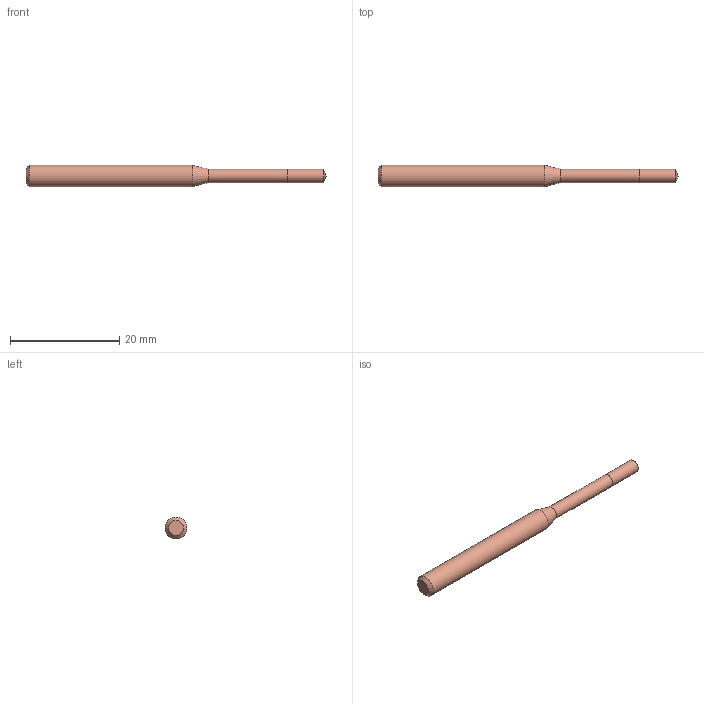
import cadquery as cq
import math

TOTAL_LENGTH = 55.0
SHANK_DIAMETER = 4.0
NECK_DIAMETER = 2.45
SHANK_CHAMFER = 0.63
TAPER_START = 30.5
TAPER_HALF_ANGLE = 15.0
HEAD_LENGTH = 7.0
POINT_ANGLE = 140.0

shank_radius = SHANK_DIAMETER / 2
neck_radius = NECK_DIAMETER / 2
taper_length = (shank_radius - neck_radius) / math.tan(math.radians(TAPER_HALF_ANGLE))
taper_end = TAPER_START + taper_length
head_start = TOTAL_LENGTH - HEAD_LENGTH
point_length = neck_radius / math.tan(math.radians(POINT_ANGLE / 2))
point_start = TOTAL_LENGTH - point_length


def revolve_about_x(profile_points):
    """Turn a closed half profile of (x, radius) points about the X axis."""
    profile = cq.Workplane("XY").polyline(profile_points).close()
    return profile.revolve(360, (0, 0, 0), (1, 0, 0))


def make_shank():
    """Chamfered shank that tapers down to a slender neck."""
    return revolve_about_x([
        (0, 0),
        (0, shank_radius - SHANK_CHAMFER),
        (SHANK_CHAMFER, shank_radius),
        (TAPER_START, shank_radius),
        (taper_end, neck_radius),
        (head_start, neck_radius),
        (head_start, 0),
    ])


def make_cutting_head():
    """Cylindrical head with a shallow conical point, seated on the neck end."""
    return revolve_about_x([
        (head_start, 0),
        (head_start, neck_radius),
        (point_start, neck_radius),
        (TOTAL_LENGTH, 0),
    ])


shank = make_shank()
cutting_head = make_cutting_head()

result = cq.Compound.makeCompound([shank.val(), cutting_head.val()])